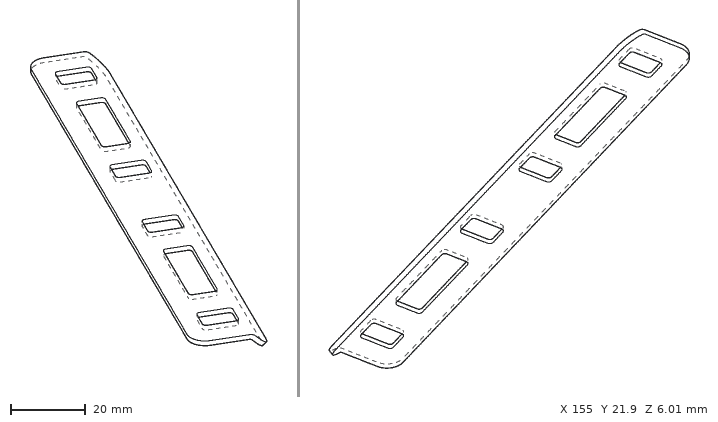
import cadquery as cq
import math

length = 155.0
thickness = 1.5
corner_radius = 5.0

base_leg = 17.0
flange_leg = 7.0
bend_angle = math.radians(45)
bend_inner_radius = 1.0
bend_outer_radius = bend_inner_radius + thickness
bend_setback = bend_outer_radius * math.tan(bend_angle / 2)

base_flat = base_leg - bend_setback
flange_flat = flange_leg - bend_setback

window_group_offset = 40.5
window_center_y = 10.5
window_corner_radius = 1.0
long_window_size = (25.0, 8.0)
short_window_size = (7.0, 10.0)
short_window_spacing = 51.0


def bent_point(radius, angle):
    """Point (y, z) on the bend at a radius from its axis and an angle past the base."""
    return (
        base_flat + radius * math.sin(angle),
        radius * math.cos(angle) - bend_outer_radius,
    )


def along_flange(point, distance):
    """Move a (y, z) point down the slope of the flange."""
    return (
        point[0] + distance * math.cos(bend_angle),
        point[1] - distance * math.sin(bend_angle),
    )


def bent_sheet():
    """Flat base with a flange bent down along its rear edge, top face at Z = 0."""
    outer_end = bent_point(bend_outer_radius, bend_angle)
    inner_end = bent_point(bend_inner_radius, bend_angle)
    profile = (
        cq.Workplane("YZ")
        .moveTo(0, 0)
        .lineTo(base_flat, 0)
        .threePointArc(bent_point(bend_outer_radius, bend_angle / 2), outer_end)
        .lineTo(*along_flange(outer_end, flange_flat))
        .lineTo(*along_flange(inner_end, flange_flat))
        .lineTo(*inner_end)
        .threePointArc(bent_point(bend_inner_radius, bend_angle / 2), (base_flat, -thickness))
        .lineTo(0, -thickness)
        .close()
    )
    return profile.extrude(length / 2, both=True)


def round_corners(sheet):
    """Round the two front corners of the base and the two free corners of the flange."""
    front_corners = sheet.edges("|Z").edges("<Y")
    sheet = front_corners.fillet(corner_radius)
    across_flange = cq.Vector(0, math.sin(bend_angle), math.cos(bend_angle))
    down_flange = cq.Vector(0, math.cos(bend_angle), -math.sin(bend_angle))
    flange_corners = sheet.edges(cq.selectors.ParallelDirSelector(across_flange)).edges(
        cq.selectors.DirectionMinMaxSelector(down_flange)
    )
    return flange_corners.fillet(corner_radius)


def window(center_x, size):
    """Cutter for a rounded rectangular window through the base."""
    return (
        cq.Workplane("XY")
        .center(center_x, window_center_y)
        .rect(*size)
        .extrude(-thickness)
        .edges("|Z")
        .fillet(window_corner_radius)
    )


result = round_corners(bent_sheet())
for group_x in (-window_group_offset, window_group_offset):
    result = result.cut(window(group_x, long_window_size))
    for side in (-1, 1):
        short_window_x = group_x + side * short_window_spacing / 2
        result = result.cut(window(short_window_x, short_window_size))